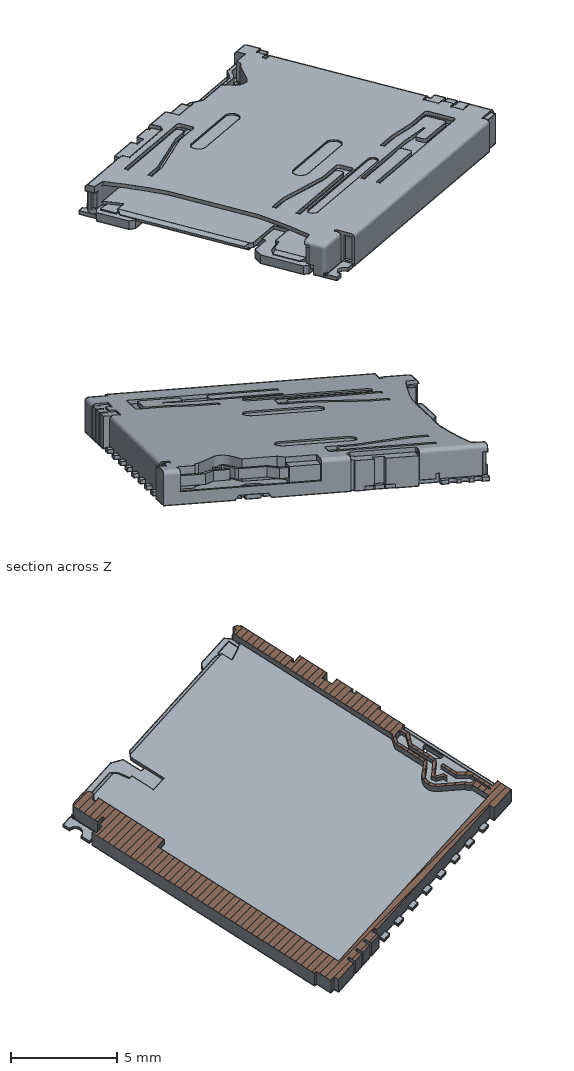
import cadquery as cq

width = 13.85
length = 16.15
height = 1.68
sheet = 0.2
bend_radius = 0.21
lid_under = height - sheet
floor_top = 0.63
flange_top = 0.2
lug_top = 0.45
back_wall = 15.89
slot_width = 1.3
overlap = 0.08

front_edge = 0.21
left_wall_x = 0.32
left_step_y = 3.67
right_wall_x = 13.21
right_step_y = 1.9
right_slit_y = 1.76
groove_width = 0.08
mouth_left = 0.92
mouth_right = 12.1


def box(x0, x1, y0, y1, z0, z1):
    """Box between two opposite corners."""
    return cq.Workplane("XY").box(x1 - x0, y1 - y0, z1 - z0, centered=False).translate((x0, y0, z0))


def prism(points, z0, z1):
    """Vertical prism over a closed polygon."""
    return cq.Workplane("XY").workplane(offset=z0).polyline(points).close().extrude(z1 - z0)


def disc(x, y, radius, z0, z1):
    """Vertical cylinder."""
    return cq.Workplane("XY").workplane(offset=z0).center(x, y).circle(radius).extrude(z1 - z0)


back_left_x = 1.34
back_tab_x = 10.11
back_step_y = 15.78
back_tabs = ((10.3, 10.89), (11.0, 11.53), (11.63, 12.15))
back_strip_x = 12.25
back_right_x = 13.45
right_back_x = 13.71
right_back_y = 15.05
lid_corner_left = 0.94
lid_corner_right = 12.0
lid_corner_y = 0.85
lid_front_y = 1.47
lid_flat = (4.09, 8.95)


def body_block():
    """Full-height block over the plan outline, with the sheet bends rounded along the top."""
    tabs = []
    for start, end in back_tabs:
        tabs += [(start, back_step_y), (start, length), (end, length), (end, back_step_y)]
    outline = (
        cq.Workplane("XY")
        .moveTo(0, left_step_y)
        .lineTo(left_wall_x, left_step_y)
        .lineTo(left_wall_x, front_edge)
        .lineTo(mouth_left - overlap, front_edge)
        .lineTo(lid_corner_left, lid_corner_y)
        .threePointArc((2.5, 1.23), (lid_flat[0], lid_front_y))
        .lineTo(lid_flat[1], lid_front_y)
        .threePointArc((10.47, 1.21), (lid_corner_right, lid_corner_y))
        .lineTo(mouth_right, front_edge)
        .lineTo(right_wall_x, front_edge)
        .lineTo(right_wall_x, right_step_y)
        .lineTo(width, right_step_y)
        .lineTo(width, right_back_y)
        .lineTo(right_back_x, right_back_y)
        .lineTo(right_back_x, back_wall)
        .lineTo(back_right_x, back_wall)
        .lineTo(back_right_x, length)
        .lineTo(back_strip_x, length)
        .lineTo(back_strip_x, back_step_y)
    )
    for point in reversed(tabs):
        outline = outline.lineTo(*point)
    block = (
        outline.lineTo(back_tab_x, back_step_y)
        .lineTo(back_tab_x, back_wall)
        .lineTo(back_left_x, back_wall)
        .lineTo(back_left_x, length)
        .lineTo(0, length)
        .close()
        .extrude(height)
    )
    bends = (
        (0, (left_step_y + length) / 2),
        (left_wall_x, (front_edge + left_step_y) / 2),
        (right_wall_x, (front_edge + right_step_y) / 2),
        (width, (right_step_y + right_back_y) / 2),
        ((back_left_x + back_tab_x) / 2, back_wall),
        ((back_strip_x + back_right_x) / 2, length),
        ((mouth_right + right_wall_x) / 2, front_edge),
    )
    for x, y in bends:
        block = block.edges(cq.selectors.NearestToPointSelector((x, y, height))).fillet(bend_radius)
    return block


window_front = 9.95
window_back = 15.33
window_step = 0.84
window_wall = 0.16
window_floor = 0.58
sill_width = 0.15
sill_front = 8.43
low_top = 1.4


def window(grow, z0, z1):
    """Window outline grown outwards by 'grow', as a prism."""
    profile = (
        cq.Workplane("XY")
        .workplane(offset=z0)
        .moveTo(-overlap, window_front)
        .lineTo(window_step, window_front)
        .lineTo(1.1, 10.29)
        .lineTo(1.1, 12.02)
        .lineTo(1.75, 12.39)
        .threePointArc((1.99, 12.77), (1.84, 13.2))
        .lineTo(0.94, 14.18)
        .threePointArc((0.85, 14.37), (0.73, 14.44))
        .lineTo(0.6, 14.44)
        .lineTo(0.6, window_back)
        .lineTo(-overlap, window_back)
        .close()
    )
    if grow:
        profile = profile.offset2D(grow)
    return profile.extrude(z1 - z0)


def window_cuts():
    """Window pocket, the lowered block in front of it and the opening in the outer skin."""
    inside = window(0, window_floor, height + overlap)
    inside = inside.cut(box(-overlap, sill_width, sill_front, window_back, 0, floor_top))
    block_top = box(-overlap, window_step, sill_front, window_front + overlap, low_top, height + overlap)
    skin = box(-overlap, sill_width, sill_front, window_back, floor_top, height + overlap)
    return inside.union(block_top).union(skin)


def card_space():
    """Space for the card, open at the front, with room for the hooked finger on the right."""
    card_back = 15.5
    room = box(mouth_left, mouth_right, -overlap, card_back, floor_top, lid_under)
    hook_room = box(mouth_right - overlap, 12.6, 4.85, card_back, floor_top, lid_under)
    room = room.union(hook_room)
    return room.cut(window(window_wall, 0, height))


side_block_back = 7.0
side_block_x = 0.84


def side_block_cuts():
    top_step = box(-overlap, side_block_x, left_step_y - overlap, side_block_back, lid_under, height + overlap)
    top_step = top_step.edges("|Z and >X and >Y").chamfer(0.2)
    relief = box(-overlap, 0.15, 6.8, side_block_back, -overlap, height)
    groove = box(-overlap, 0.35, 5.28, 5.85, -overlap, height)
    trench = box(0.71, side_block_x, left_step_y - overlap, 6.6, low_top, height)
    pad_notch = box(-overlap, pad_setback, 4.81, 6.3, -overlap, flange_top)
    cutter = top_step
    for cut in (relief, groove, trench, pad_notch):
        cutter = cutter.union(cut)
    return cutter


def wall_cuts():
    """Reliefs in the stepped-in front stretches of both side walls."""
    bend_slit = box(left_wall_x - overlap, 0.48, 3.55, left_step_y, -overlap, height + overlap)
    low_relief = box(left_wall_x - overlap, 0.42, 2.73, 3.55, -overlap, flange_top)
    low_notch = box(left_wall_x - overlap, 0.42, 2.57, 2.73, -overlap, lug_top)
    right_end = box(
        right_wall_x + groove_width, right_back_x, right_step_y - overlap, right_step_y + 0.16, flange_top, lid_under
    )
    return bend_slit.union(low_relief).union(low_notch).union(right_end)


def springs():
    bottom, top = 0.79, 1.31
    back_spring = [
        (0.34, window_back + overlap), (0.34, 14.02), (0.78, 13.5), (0.78, 12.7),
        (0.94, 12.7), (0.94, 13.6), (0.53, 14.13), (0.53, window_back + overlap),
    ]
    hooked_spring = [
        (0.34, window_front - overlap), (0.34, 10.38), (0.78, 10.89), (0.78, 12.25),
        (0.89, 12.4), (1.52, 12.77), (1.49, 12.89), (1.21, 13.07), (1.21, 13.28), (1.34, 13.37), (1.34, 13.16),
        (1.65, 12.94), (1.68, 12.7), (0.94, 12.21), (0.94, 10.82), (0.53, 10.32),
        (0.53, window_front - overlap),
    ]
    return prism(back_spring, bottom, top).union(prism(hooked_spring, bottom, top))


pad_notch_top = 0.23
pad_setback = 0.05


def window_hole():
    hole_x = 0.2
    hole = [(hole_x, 12.27), (0.35, 12.27), (0.6, 11.98), (0.6, 11.47), (0.35, 11.2), (hole_x, 11.2)]
    under_wall = [(10.85, 0), (11.01, pad_notch_top), (12.48, pad_notch_top), (12.65, 0)]
    notch = (
        cq.Workplane("YZ").workplane(offset=-overlap).polyline(under_wall).close()
        .extrude(hole_x + 2 * overlap)
    )
    return prism(hole, -overlap, floor_top + overlap).union(notch)


def side_pads():
    pad_outline = [
        (pad_setback, 11.37), (pad_setback, 12.11), (0.37, 12.11), (0.52, 11.93), (0.52, 11.55), (0.37, 11.37),
    ]
    window_pad = prism(pad_outline, 0, pad_notch_top)
    block_pad = box(pad_setback, 0.44, 5.33, 5.8, 0, flange_top)
    return window_pad.union(block_pad)


dimple_depth = 0.08
dimples = (
    (3.12, 0.76, 5.83, 9.82),
    (8.59, 0.79, 5.83, 9.82),
    (11.0, 0.52, 2.8, 9.12),
)


def dimple(x, wide, front, back, z0):
    return (
        cq.Workplane("XY").workplane(offset=z0).center(x, (front + back) / 2)
        .slot2D(back - front, wide, 90).extrude(dimple_depth)
    )


corner_radius = 0.15
left_finger_x = 1.2
right_finger_x = 10.63
finger_front = 2.47
finger_back = 7.7
finger_tip = 7.17
finger_bend = 6.25


def finger_slot(straight_x, toward):
    """U slot; the straight leg is at straight_x and the other leg lies on the 'toward' side."""
    leg_in = straight_x + toward * slot_width
    splay_out = straight_x + toward * 5.4
    splay_in = splay_out - toward * slot_width
    foot_out = straight_x + toward * 9.2
    foot_in = foot_out - toward * slot_width
    points = [
        (straight_x, finger_front), (straight_x, finger_back), (splay_out, finger_back),
        (splay_out, finger_bend), (foot_out, 3.47), (foot_out, finger_front),
        (foot_in, finger_front), (foot_in, 3.38), (splay_in, finger_bend),
        (splay_in, finger_tip), (leg_in, finger_tip), (leg_in, finger_front),
    ]
    cutter = prism(points, lid_under - overlap, height + overlap)
    left, right = sorted((straight_x, splay_out))
    corners = cq.selectors.BoxSelector(
        (left - 0.16, finger_tip - 0.16, 0), (right + 0.16, finger_back + 0.16, 2 * height)
    )
    return cutter.edges("|Z").edges(corners).fillet(corner_radius)


def hook_slot():
    """Slot around the hooked contact finger at the back right."""
    points = [
        (10.6, 10.37), (10.6, 11.45), (10.79, 12.92), (10.79, 14.42), (12.4, 14.42), (12.4, 7.04),
        (12.21, 7.04), (12.21, 10.56), (11.5, 10.56), (11.56, 9.77), (11.56, 7.04), (11.37, 7.04),
        (11.37, 11.29), (11.51, 12.87), (11.58, 12.87), (11.58, 11.89), (12.16, 11.89), (12.16, 13.97),
        (11.0, 13.97), (11.0, 12.76), (10.8, 11.39), (10.8, 10.37),
    ]
    cutter = prism(points, lid_under - overlap, height + overlap)
    for front, back in ((10.5, 10.66), (11.79, 11.95), (13.89, 14.54)):
        corners = cq.selectors.BoxSelector((10.74, front, 0), (12.44, back, 2 * height))
        cutter = cutter.edges("|Z").edges(corners).fillet(corner_radius)
    return cutter


back_recess_depth = 0.08


def back_cuts():
    """Lowered spots along the back edge and the slits that free the bent sheet."""
    recess_z = height - back_recess_depth
    recesses = (
        (0.95, back_left_x + overlap, 15.75, length + overlap),
        (back_tab_x, 10.95, 15.36, length + overlap),
        (10.95, 11.58, 15.68, length + overlap),
        (11.58, back_strip_x, 15.36, length + overlap),
        (back_right_x, width, right_back_y, back_wall + overlap),
    )
    relief = box(1.45, 1.66, 15.4, back_wall + overlap, lid_under, height + overlap)
    right_slit = box(12.85, width, right_slit_y, right_step_y, -overlap, height + overlap)
    cutter = relief.union(right_slit)
    for recess in recesses:
        cutter = cutter.union(box(*recess, recess_z, height + overlap))
    return cutter


def contacts():
    """Row of solder tails at the back."""
    first_x, pitch, count = 2.0, 1.1, 8
    tail_width = 0.42
    tails = None
    for i in range(count):
        left = first_x + i * pitch - tail_width / 2
        tail = box(left, left + tail_width, back_wall - overlap, length, 0, flange_top)
        tails = tail if tails is None else tails.union(tail)
    return tails


plate_right = 9.14
raised_left = 9.95
roll_top = 1.32


def front_plates():
    """Card sill in the mouth and the two lugs below it."""
    plate_front = 0.3
    bevel_back = 0.52
    bevel_bottom = floor_top - 0.15
    plate_bottom = 0.37
    rear = 1.62
    plate = prism(
        [(1.9, rear), (1.9, bevel_back), (2.16, plate_front),
         (8.82, plate_front), (plate_right, 0.63), (plate_right, rear)],
        plate_bottom, floor_top,
    )
    under_plate = box(2.9, 8.96, 0.48, rear, 0.26, plate_bottom)
    side_plate = box(1.1, 1.94, plate_front, rear, 0, 0.52)
    raised = prism(
        [(raised_left, rear), (10.11, 0.65), (10.35, plate_front),
         (11.79, plate_front), (mouth_right, bevel_back), (mouth_right, rear)],
        flange_top, floor_top,
    )
    left_rim = cq.selectors.BoxSelector((9.85, 0.32, floor_top - 0.02), (10.42, 1.45, floor_top + 0.02))
    raised = raised.edges(left_rim).chamfer(0.15)
    bevel = (
        cq.Workplane("YZ")
        .polyline([(plate_front, bevel_bottom), (plate_front, floor_top), (bevel_back, floor_top)])
        .close()
        .extrude(width)
    )
    left_lug = prism(
        [(0.87, rear), (0.87, 0.32), (1.07, 0), (2.81, 0), (3.02, 0.23), (3.02, rear)], 0, lug_top
    )
    right_lug = prism(
        [(9.37, rear), (9.37, 0.35), (9.87, 0), (12.18, 0), (12.37, 0.2), (12.37, rear)], 0, lug_top
    )
    plates = plate.union(raised).cut(bevel)
    for part in (under_plate, side_plate, left_lug, right_lug):
        plates = plates.union(part)
    return plates


def flanges():
    """Solder flanges beside the mouth: three scallops on the left, one on the right."""
    scallops, scallop_radius = (0.76, 1.4, 2.0), 0.21
    left = box(0, mouth_left, front_edge, 2.57, 0, flange_top)
    for y in scallops:
        left = left.cut(disc(0, y, scallop_radius, -overlap, lug_top))
    right = box(right_wall_x - overlap, width, front_edge, right_slit_y, 0, flange_top)
    right = right.cut(box(right_wall_x, right_wall_x + groove_width, 0, right_slit_y, flange_top / 2, flange_top))
    right = right.cut(disc(width, 0.94, 0.34, -overlap, lug_top))
    return left.union(right)


def corner_cuts():
    """Clearances around the rolled corners, the right lug and the gap beside the sill."""
    post_left = 12.34
    left = box(0, mouth_left, 0, 0.45, -overlap, roll_top)
    right = box(mouth_right - overlap, post_left, 0, 0.97, lug_top, lid_under)
    lug_notch = box(post_left, 12.58, 0, 0.65, -overlap, 0.48)
    plate_gap = box(plate_right, raised_left, lid_front_y - 0.32, 2.58, lug_top, floor_top)
    return left.union(right).union(lug_notch).union(plate_gap)


def corner_rolls():
    """Rolled sheet ends at both sides of the mouth."""
    left = disc(0.63, 0.47, 0.26, flange_top - overlap, roll_top)
    left = left.cut(box(0.65, mouth_left, front_edge - overlap, 0.39, lug_top, roll_top))
    right = disc(12.25, 0.53, 0.23, flange_top, roll_top)
    return left.union(right)


result = body_block().cut(card_space())
for spot in dimples:
    result = result.union(dimple(*spot, lid_under - dimple_depth))
    result = result.cut(dimple(*spot, height - dimple_depth))
result = result.cut(window_cuts())
result = result.cut(side_block_cuts()).cut(window_hole())
result = result.cut(finger_slot(left_finger_x, 0.16)).cut(finger_slot(right_finger_x, -0.16)).cut(hook_slot())
result = result.cut(back_cuts()).cut(corner_cuts()).cut(wall_cuts())
for piece in (springs(), side_pads(), contacts(), front_plates(), flanges(), corner_rolls()):
    result = result.union(piece)